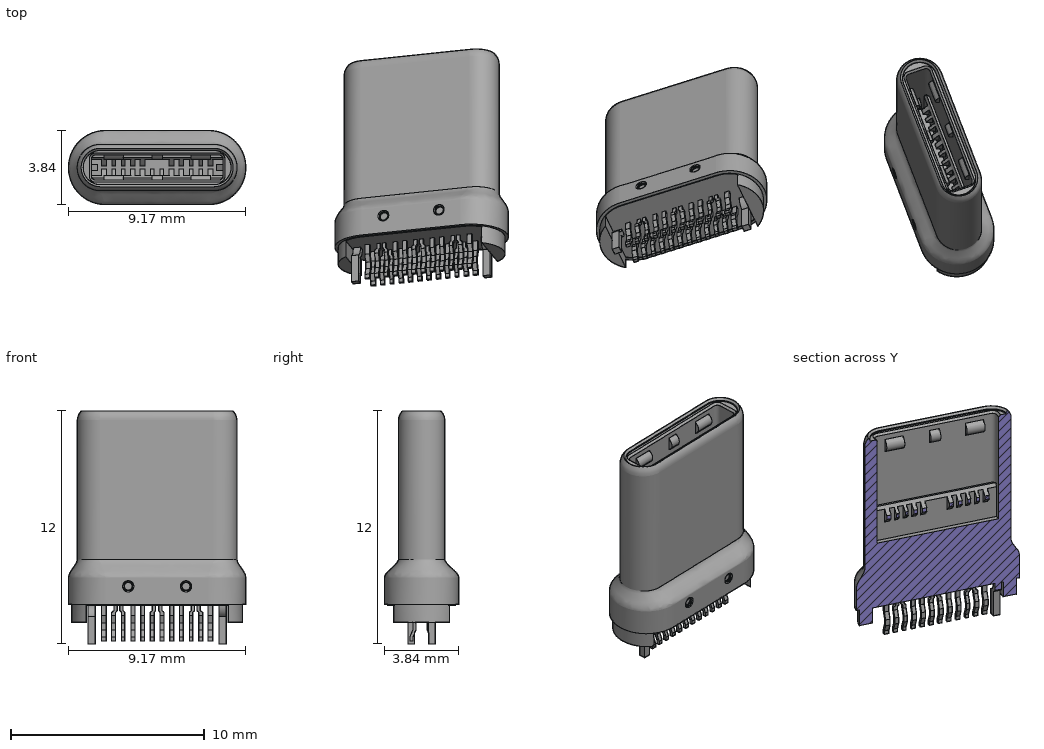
import cadquery as cq
import math

OVERLAP = 0.06

OVERMOLD_X, OVERMOLD_Y = 9.17, 3.84
OVERMOLD_HEIGHT = 1.38
SHOULDER_TOP = 2.31
SHELL_X, SHELL_Y = 8.26, 2.4
LEG_LENGTH = 2.05
TOTAL_HEIGHT = 12.04
SHELL_TOP = TOTAL_HEIGHT - LEG_LENGTH
NOSE_HEIGHT = 0.48
NOSE_INSET = 0.2
SHOULDER_STEPS = 8
SHOULDER_EASE = 1.7

LIP_INSET = 0.31
MOUTH_CHAMFER = 0.12
MOUTH_DEPTH = 0.18
CAVITY_X, CAVITY_Y = 6.79, 1.3
CAVITY_CORNER = 0.22
CAVITY_CHAMFER = 0.11
STEP_DEPTH = 4.33
FLOOR_DEPTH = 6.26
CARRIER_GAP = 1.06
CARRIER_SLOT = 0.82
CARRIER_BEVEL = 0.18

BUMP_DEPTH = 0.57
BUMP_HEIGHT = 0.71
BUMP_BROW = 0.16
BUMP_REACH = 0.23
BUMP_SPANS = [(-2.25, 1.01), (0, 0.55), (2.25, 1.01)]

LATCH_WIDTH = 0.31
LATCH_REACH = 0.33
LATCH_HEIGHT = 0.6

TAILS_PER_ROW = 12
ROW_SPAN = 5.5
PITCH = ROW_SPAN / (TAILS_PER_ROW - 1)
CONTACT_WIDTHS = [0.18, 0.25, 0.23, 0.18, 0.18, 0.25]
CONTACT_CREST = 0.08
CONTACT_ROUND = 0.24
TAIL_WIDTHS = [0.22, 0.22, 0.22, 0.18, 0.22, 0.25]
TAIL_JOGS = [-0.08, 0, 0, 0.1, -0.11, 0]
JOG_TOP, JOG_BOTTOM = -0.31, -0.41
TAIL_NECK = 0.18
TAIL_END = -1.89
TAIL_THICKNESS = 0.17
TAIL_OUTER_Y = 0.61
TAIL_INNER_Y = 0.46
TAIL_BENDS = [-0.58, -0.96, -1.31, -1.69]

BASE_INSET = 0.17
BASE_THICKNESS = 0.05
SKIRT_DEPTH = 0.93
SKIRT_INNER_X = 3.66
LEG_X, LEG_WIDTH = 3.38, 0.39
LEG_OUTER_Y, LEG_THICKNESS = 0.71, 0.35
LEG_SHIFT = 0.36
LEG_BEND_TOP, LEG_BEND_BOTTOM = -0.05, -0.61

HOLE_X, HOLE_Z = 1.49, 0.94
HOLE_MOUTH, HOLE_BORE, HOLE_FLOOR = 0.58, 0.46, 0.41
HOLE_FLARE, HOLE_DEPTH = 0.04, 0.15


def stadium(length, width, z, height):
    return cq.Workplane("XY", origin=(0, 0, z)).slot2D(length, width).extrude(height)


def box(length, width, z, height):
    return cq.Workplane("XY", origin=(0, 0, z)).rect(length, width).extrude(height)


def slab(profile, x, width):
    """Extrude a profile, drawn as (y, z), symmetrically about the plane at x."""
    return profile.extrude(width / 2, both=True).translate((x, 0, 0))


def yz_polygon(points):
    return cq.Workplane("YZ").polyline(points).close()


def half_turn(solid):
    return solid.rotate((0, 0, 0), (0, 0, 1), 180)


def stadium_turned(profile, flat):
    """Carry a profile, drawn as (radius, z), round a stadium with straight sides of this length."""
    outline = profile.val()
    end = cq.Workplane("XZ").add(outline).toPending().revolve(360, (0, 0, 0), (0, 1, 0))
    middle = cq.Workplane("XZ").add(outline).toPending().extrude(flat / 2, both=True)
    side = middle.rotate((0, 0, 0), (0, 0, 1), 90)
    sides = side.union(half_turn(side))
    return sides.union(end.translate((flat / 2, 0, 0))).union(end.translate((-flat / 2, 0, 0)))


def make_shell():
    radius = SHELL_Y / 2
    nose_radius = (NOSE_INSET**2 + NOSE_HEIGHT**2) / (2 * NOSE_INSET)
    half_angle = math.asin(NOSE_HEIGHT / nose_radius) / 2
    nose_mid = (
        radius - nose_radius * (1 - math.cos(half_angle)),
        SHELL_TOP - NOSE_HEIGHT + nose_radius * math.sin(half_angle),
    )
    profile = (
        cq.Workplane("XZ")
        .lineTo(radius, 0)
        .lineTo(radius, SHELL_TOP - NOSE_HEIGHT)
        .threePointArc(nose_mid, (radius - NOSE_INSET, SHELL_TOP))
        .lineTo(0, SHELL_TOP)
        .close()
    )
    return stadium_turned(profile, SHELL_X - SHELL_Y)


def make_shoulder():
    spacing = (SHOULDER_TOP - OVERMOLD_HEIGHT) / SHOULDER_STEPS
    sections = cq.Workplane("XY", origin=(0, 0, OVERMOLD_HEIGHT - spacing))
    for step in range(SHOULDER_STEPS + 1):
        rise = step / SHOULDER_STEPS
        blend = rise**2 * (1 + SHOULDER_EASE * (1 - rise))
        length = OVERMOLD_X + blend * (SHELL_X - OVERMOLD_X)
        width = OVERMOLD_Y + blend * (SHELL_Y - OVERMOLD_Y)
        sections = sections.workplane(offset=spacing).slot2D(length, width)
    return sections.loft(combine=True)


def make_mouth():
    rim = SHELL_Y / 2 - NOSE_INSET
    lip = SHELL_Y / 2 - LIP_INSET
    ledge = SHELL_TOP - MOUTH_DEPTH
    outline = [(0, SHELL_TOP), (rim, SHELL_TOP), (lip, SHELL_TOP - MOUTH_CHAMFER), (lip, ledge), (0, ledge)]
    profile = cq.Workplane("XZ").polyline(outline).close()
    return stadium_turned(profile, SHELL_X - SHELL_Y)


def make_cavity():
    ledge = SHELL_TOP - MOUTH_DEPTH
    step = SHELL_TOP - STEP_DEPTH
    floor = SHELL_TOP - FLOOR_DEPTH
    upper = box(CAVITY_X, CAVITY_Y, step, ledge - step).edges("|Z").fillet(CAVITY_CORNER)
    flare = (
        cq.Workplane("XY", origin=(0, 0, ledge - CAVITY_CHAMFER))
        .sketch()
        .rect(CAVITY_X, CAVITY_Y)
        .vertices()
        .fillet(CAVITY_CORNER)
        .finalize()
        .extrude(CAVITY_CHAMFER, taper=-45)
    )
    half_gap, half_slot = CARRIER_GAP / 2, CARRIER_SLOT / 2
    bevel_end = step - CARRIER_BEVEL
    slot = yz_polygon([
        (-half_gap, step), (-half_slot, bevel_end), (-half_slot, floor),
        (half_slot, floor), (half_slot, bevel_end), (half_gap, step),
    ])
    return upper.union(flare).union(slab(slot, 0, CAVITY_X))


def make_bumps():
    wall = CAVITY_Y / 2
    top = SHELL_TOP - BUMP_DEPTH
    bottom = top - BUMP_HEIGHT
    root = wall + OVERLAP
    bumps = cq.Workplane("XY")
    for x, length in BUMP_SPANS:
        profile = (
            cq.Workplane("YZ")
            .moveTo(root, top)
            .lineTo(wall, top)
            .lineTo(wall - BUMP_BROW, top - BUMP_BROW)
            .threePointArc((wall - BUMP_REACH, bottom + BUMP_HEIGHT / 2), (wall, bottom))
            .lineTo(root, bottom)
            .close()
        )
        bump = slab(profile, x, length)
        bumps = bumps.union(bump).union(half_turn(bump))
    return bumps


def make_latches():
    wall = CAVITY_X / 2
    top = SHELL_TOP - STEP_DEPTH - CARRIER_BEVEL
    tip = wall - LATCH_REACH
    profile = [
        (wall + OVERLAP, top), (wall, top), (tip, top - LATCH_REACH),
        (tip, top - LATCH_HEIGHT), (wall + OVERLAP, top - LATCH_HEIGHT),
    ]
    latch = cq.Workplane("XZ").polyline(profile).close().extrude(LATCH_WIDTH / 2, both=True)
    return latch.union(half_turn(latch))


def contact_x(number):
    return (number + 0.5) * PITCH


def make_contact(x, width):
    """One contact of the +Y row: a 45 degree lead-in rounding over to an upright crest."""
    wall = CARRIER_SLOT / 2
    root = wall + OVERLAP
    top = SHELL_TOP - STEP_DEPTH - CARRIER_BEVEL
    lead_in, half_lead_in = math.radians(45), math.radians(22.5)
    round_start = CONTACT_CREST + CONTACT_ROUND * (1 - math.cos(lead_in))
    round_top = top - (wall - round_start)
    crest = round_top - CONTACT_ROUND * math.sin(lead_in)
    round_mid = (
        CONTACT_CREST + CONTACT_ROUND * (1 - math.cos(half_lead_in)),
        crest + CONTACT_ROUND * math.sin(half_lead_in),
    )
    bottom = crest - (wall - CONTACT_CREST)
    profile = (
        cq.Workplane("YZ")
        .moveTo(root, top)
        .lineTo(wall, top)
        .lineTo(round_start, round_top)
        .threePointArc(round_mid, (CONTACT_CREST, crest))
        .lineTo(wall, bottom)
        .lineTo(root, bottom)
        .close()
    )
    return slab(profile, x, width)


def make_contacts():
    contacts = cq.Workplane("XY")
    for number, width in enumerate(CONTACT_WIDTHS):
        for x in (-contact_x(number), contact_x(number)):
            contact = make_contact(x, width)
            contacts = contacts.union(half_turn(contact))
            if number > 0:
                contacts = contacts.union(contact)
    return contacts


def make_tail(number):
    """One solder tail of the -Y row: its side outline trimmed to its face outline."""
    inward, inward_end, outward, outward_end = TAIL_BENDS
    front = [
        (-TAIL_OUTER_Y, OVERLAP), (-TAIL_OUTER_Y, inward), (-TAIL_INNER_Y, inward_end),
        (-TAIL_INNER_Y, outward), (-TAIL_OUTER_Y, outward_end), (-TAIL_OUTER_Y, TAIL_END),
    ]
    back = [(y + TAIL_THICKNESS, z) for y, z in reversed(front)]
    x, width, jog = contact_x(number), TAIL_WIDTHS[number], TAIL_JOGS[number]
    neck = min(width, TAIL_NECK) if jog else width
    face = [
        (x + jog - neck / 2, OVERLAP), (x + jog + neck / 2, OVERLAP), (x + jog + neck / 2, JOG_TOP),
        (x + width / 2, JOG_BOTTOM), (x + width / 2, TAIL_END),
        (x - width / 2, TAIL_END), (x - width / 2, JOG_BOTTOM), (x + jog - neck / 2, JOG_TOP),
    ]
    outline = cq.Workplane("XZ").polyline(face).close().extrude(OVERMOLD_Y, both=True)
    return slab(yz_polygon(front + back), x, 2 * PITCH).intersect(outline)


def make_tails():
    tails = cq.Workplane("XY")
    for number in range(TAILS_PER_ROW // 2):
        tail = make_tail(number)
        row = tail.union(tail.mirror("YZ"))
        tails = tails.union(row).union(row.mirror("XZ"))
    return tails


def make_base():
    length, width = OVERMOLD_X - 2 * BASE_INSET, OVERMOLD_Y - 2 * BASE_INSET
    skirt = stadium(length, width, -SKIRT_DEPTH, SKIRT_DEPTH + OVERLAP)
    between = box(2 * SKIRT_INNER_X, OVERMOLD_Y, -SKIRT_DEPTH, SKIRT_DEPTH - BASE_THICKNESS)
    return skirt.cut(between)


def make_legs():
    outer, inner = -LEG_OUTER_Y, -LEG_OUTER_Y + LEG_THICKNESS
    drop = LEG_BEND_TOP - LEG_BEND_BOTTOM
    bend_radius = (LEG_SHIFT**2 + drop**2) / (2 * LEG_SHIFT)
    half_angle = math.asin(drop / bend_radius) / 2
    bend_mid_shift = LEG_SHIFT - bend_radius * (1 - math.cos(half_angle))
    bend_mid_z = LEG_BEND_TOP - bend_radius * math.sin(half_angle)
    profile = (
        cq.Workplane("YZ")
        .moveTo(outer + LEG_SHIFT, OVERLAP)
        .lineTo(outer + LEG_SHIFT, LEG_BEND_TOP)
        .threePointArc((outer + bend_mid_shift, bend_mid_z), (outer, LEG_BEND_BOTTOM))
        .lineTo(outer, -LEG_LENGTH)
        .lineTo(inner, -LEG_LENGTH)
        .lineTo(inner, LEG_BEND_BOTTOM)
        .threePointArc((inner + bend_mid_shift, bend_mid_z), (inner + LEG_SHIFT, LEG_BEND_TOP))
        .lineTo(inner + LEG_SHIFT, OVERLAP)
        .close()
    )
    leg = slab(profile, -LEG_X, LEG_WIDTH)
    return leg.union(half_turn(leg))


def make_holes():
    face = -OVERMOLD_Y / 2
    mouth, bore, floor = HOLE_MOUTH / 2, HOLE_BORE / 2, HOLE_FLOOR / 2
    profile = [
        (0, 0), (mouth, 0), (bore, HOLE_FLARE), (bore, HOLE_DEPTH - HOLE_FLARE),
        (floor, HOLE_DEPTH), (0, HOLE_DEPTH),
    ]
    hole = cq.Workplane("XY").polyline(profile).close().revolve(360, (0, 0, 0), (0, 1, 0))
    holes = cq.Workplane("XY")
    for x in (-HOLE_X, HOLE_X):
        placed = hole.translate((x, face, HOLE_Z))
        holes = holes.union(placed).union(half_turn(placed))
    return holes


result = (
    stadium(OVERMOLD_X, OVERMOLD_Y, 0, OVERMOLD_HEIGHT)
    .union(make_shoulder())
    .union(make_shell())
    .cut(make_mouth())
    .cut(make_cavity())
    .union(make_bumps())
    .union(make_latches())
    .union(make_contacts())
    .union(make_base())
    .union(make_tails())
    .union(make_legs())
    .cut(make_holes())
)